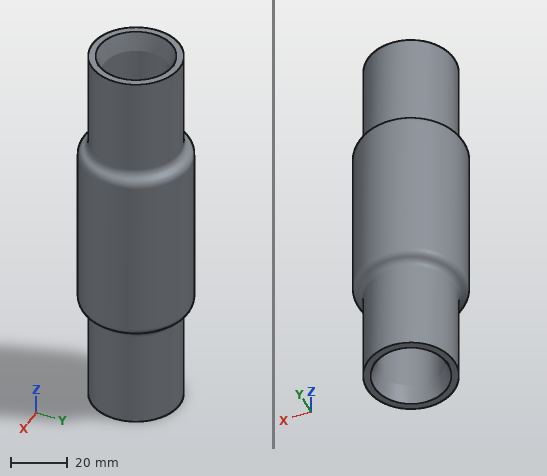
import cadquery as cq
import math

length = 148.0
body_radius = 20.5
neck_radius = 16.9
bore_radius = 12.3

mouth_radius = 14.2
mouth_depth = 7.0

neck_length = 37.3
shoulder_height = 5.8

end_z = length / 2
neck_z = end_z - neck_length
body_z = neck_z - shoulder_height

step = body_radius - neck_radius
arc_radius = (step**2 + shoulder_height**2) / (4 * step)
arc_angle = math.asin(shoulder_height / 2 / arc_radius)
half_arc_sag = arc_radius * (1 - math.cos(arc_angle / 2))
half_arc_rise = arc_radius * math.sin(arc_angle / 2)

neck_end = (neck_radius, neck_z)
neck_arc_mid = (neck_radius + half_arc_sag, neck_z - half_arc_rise)
arc_joint = ((body_radius + neck_radius) / 2, (body_z + neck_z) / 2)
body_arc_mid = (body_radius - half_arc_sag, body_z + half_arc_rise)
body_end = (body_radius, body_z)


def lower(point):
    """Mirror a profile point from the upper half to the lower half."""
    radius, z = point
    return (radius, -z)


tip = (neck_radius, end_z)
mouth_rim = (mouth_radius, end_z)
bore_end = (bore_radius, end_z - mouth_depth)

profile = (
    cq.Workplane("XZ")
    .moveTo(*lower(tip))
    .lineTo(*lower(neck_end))
    .threePointArc(lower(neck_arc_mid), lower(arc_joint))
    .threePointArc(lower(body_arc_mid), lower(body_end))
    .lineTo(*body_end)
    .threePointArc(body_arc_mid, arc_joint)
    .threePointArc(neck_arc_mid, neck_end)
    .lineTo(*tip)
    .lineTo(*mouth_rim)
    .lineTo(*bore_end)
    .lineTo(*lower(bore_end))
    .lineTo(*lower(mouth_rim))
    .close()
)

result = profile.revolve(360, (0, 0, 0), (0, 1, 0))